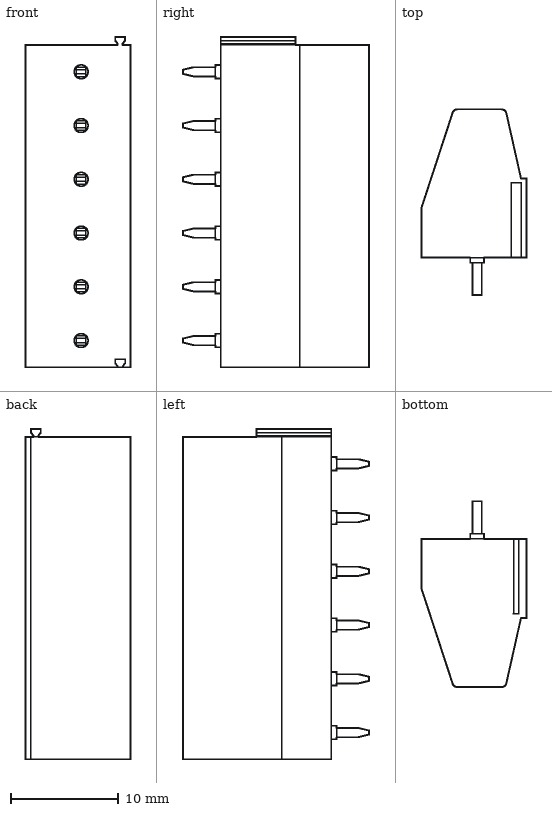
import cadquery as cq

total_height = 30.75
body_width = 9.8
body_depth = 13.8
body_height = 30.0
side_wall_depth = 4.6
left_top_inset = 3.0
right_top_inset = 1.97
ledge_depth = 7.38
ledge_width = 0.52
top_corner_radius = 0.5

dovetail_length = 6.98
dovetail_width = 0.92
dovetail_neck = 0.45
dovetail_neck_height = 0.1
dovetail_height = total_height - body_height
dovetail_rim = 0.35
dovetail_x = body_width - ledge_width - dovetail_width / 2

pin_count = 6
pitch = body_height / pin_count
pin_x = 5.2
pin_length = 3.5
pin_width = 0.9
pin_height = 0.9
tip_height = 0.4
tip_length = 1.0
collar_diameter = 1.3
collar_length = 0.5


def make_body():
    """Tapered block with rounded corners along its +Y face."""
    body = (
        cq.Workplane("XY")
        .moveTo(0, 0)
        .lineTo(body_width, 0)
        .lineTo(body_width, ledge_depth)
        .lineTo(body_width - ledge_width, ledge_depth)
        .lineTo(body_width - right_top_inset, body_depth)
        .lineTo(left_top_inset, body_depth)
        .lineTo(0, side_wall_depth)
        .close()
        .extrude(body_height)
    )
    return body.faces(">Y").edges("|Z").fillet(top_corner_radius)


def make_dovetail(base_z):
    """Dovetail bar along Y with its neck at base_z and its wide face on top."""
    half_neck = dovetail_neck / 2
    half_width = dovetail_width / 2
    rim_z = dovetail_height - dovetail_rim
    return (
        cq.Workplane("XZ", origin=(dovetail_x, 0, base_z))
        .moveTo(-half_neck, 0)
        .lineTo(half_neck, 0)
        .lineTo(half_neck, dovetail_neck_height)
        .lineTo(half_width, rim_z)
        .lineTo(half_width, dovetail_height)
        .lineTo(-half_width, dovetail_height)
        .lineTo(-half_width, rim_z)
        .lineTo(-half_neck, dovetail_neck_height)
        .close()
        .extrude(-dovetail_length)
    )


def make_pin(center_z):
    """Round collar and a rectangular pin whose upper and lower faces taper to the tip."""
    collar = (
        cq.Workplane("XZ", origin=(pin_x, 0, center_z))
        .circle(collar_diameter / 2)
        .extrude(collar_length)
    )
    taper_start = tip_length - pin_length
    blade = (
        cq.Workplane("YZ", origin=(pin_x, 0, center_z))
        .moveTo(0, -pin_height / 2)
        .lineTo(0, pin_height / 2)
        .lineTo(taper_start, pin_height / 2)
        .lineTo(-pin_length, tip_height / 2)
        .lineTo(-pin_length, -tip_height / 2)
        .lineTo(taper_start, -pin_height / 2)
        .close()
        .extrude(pin_width / 2, both=True)
    )
    return collar.union(blade)


result = make_body()
result = result.cut(make_dovetail(0))
result = result.union(make_dovetail(body_height))
for index in range(pin_count):
    result = result.union(make_pin((index + 0.5) * pitch))